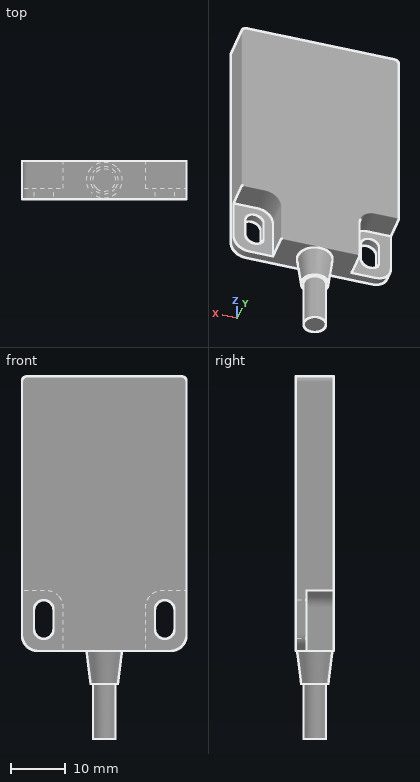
import cadquery as cq

width = 30.0
thickness = 7.0
height = 50.0
top_corner_radius = 1.0
edge_radius = 0.2

ear_thickness = 2.0
ear_height = 11.0
ear_width = 7.5
ear_inner_radius = 3.0
ear_outer_radius = 3.0

slot_spacing = 22.0
slot_width = 3.5
slot_length = 7.0
slot_centre_z = 5.75

relief_top_diameter = 6.5
relief_bottom_diameter = 5.0
relief_length = 6.0
cable_diameter = 4.1
cable_length = 10.0

front_y = -thickness / 2
back_y = thickness / 2
step_y = front_y + ear_thickness


def upright_plate(plate_width, y_start, y_end):
    """Plate of the full housing height between two Y positions, standing on z = 0."""
    return (
        cq.Workplane("XY")
        .box(plate_width, y_end - y_start, height, centered=(True, False, False))
        .translate((0, y_start, 0))
    )


def make_front_plate():
    """Full outline at the front, with the ears' rounded lower corners."""
    return (
        upright_plate(width, front_y, step_y)
        .edges("|Y and >Z").fillet(top_corner_radius)
        .edges("|Y and <Z").fillet(ear_outer_radius)
        .faces("<Y").edges().fillet(edge_radius)
    )


def make_back_block():
    """Thick part behind the front plate, cut away behind both ears."""
    block = upright_plate(width, step_y, back_y).edges("|Y and >Z").fillet(top_corner_radius)
    cutter_centre_x = (width - ear_width) / 2
    for side in (-1, 1):
        inner_edge = "|Y and >Z and >X" if side < 0 else "|Y and >Z and <X"
        cutter = (
            cq.Workplane("XY")
            .box(ear_width, back_y - step_y, ear_height, centered=(True, False, False))
            .edges(inner_edge).fillet(ear_inner_radius)
            .translate((side * cutter_centre_x, step_y, 0))
        )
        block = block.cut(cutter)
    return block.faces(">Y").edges().fillet(edge_radius)


def make_slots():
    """Cutters for the two upright mounting slots."""
    return (
        cq.Workplane("XZ", origin=(0, back_y, slot_centre_z))
        .pushPoints([(-slot_spacing / 2, 0), (slot_spacing / 2, 0)])
        .slot2D(slot_length, slot_width, 90)
        .extrude(thickness)
    )


def make_cable():
    """Strain relief cone and cable stub as one revolved profile about Z."""
    cable_end_z = -relief_length - cable_length
    return (
        cq.Workplane("XZ")
        .moveTo(0, 0)
        .lineTo(relief_top_diameter / 2, 0)
        .lineTo(relief_bottom_diameter / 2, -relief_length)
        .lineTo(cable_diameter / 2, -relief_length)
        .lineTo(cable_diameter / 2, cable_end_z)
        .lineTo(0, cable_end_z)
        .close()
        .revolve(360, (0, 0, 0), (0, 1, 0))
    )


housing = make_front_plate().union(make_back_block()).cut(make_slots())
result = housing.union(make_cable())